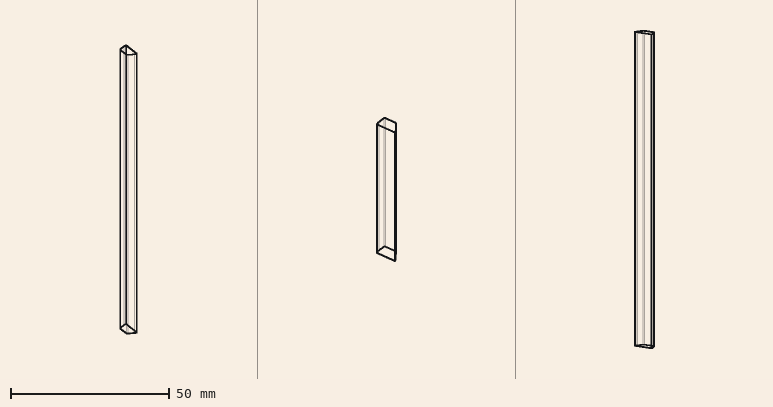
import cadquery as cq
import math

length = 101.6
width = 6.3
depth = 3.1

land_depth = 0.66
flank_angle = 24.0
shoulder_radius = 1.5
nose_radius = 0.5

back_y = depth / 2
front_y = -depth / 2
shoulder_y = back_y - land_depth
half_width = width / 2
taper = (depth - land_depth) * math.tan(math.radians(flank_angle))
half_nose = half_width - taper


def tapered_bar():
    """Extrude the sharp-cornered section along Z, centred on the origin."""
    outline = [
        (-half_width, back_y),
        (half_width, back_y),
        (half_width, shoulder_y),
        (half_nose, front_y),
        (-half_nose, front_y),
        (-half_width, shoulder_y),
    ]
    bar = cq.Workplane("XY").polyline(outline).close().extrude(length)
    return bar.translate((0, 0, -length / 2))


def round_long_edges(bar, x, y, radius):
    """Round the mirrored pair of lengthwise edges at plus and minus x."""
    corners = [(x, y, 0), (-x, y, 0)]
    for corner in corners:
        bar = bar.edges(cq.selectors.NearestToPointSelector(corner)).fillet(radius)
    return bar


result = tapered_bar()
result = round_long_edges(result, half_width, shoulder_y, shoulder_radius)
result = round_long_edges(result, half_nose, front_y, nose_radius)